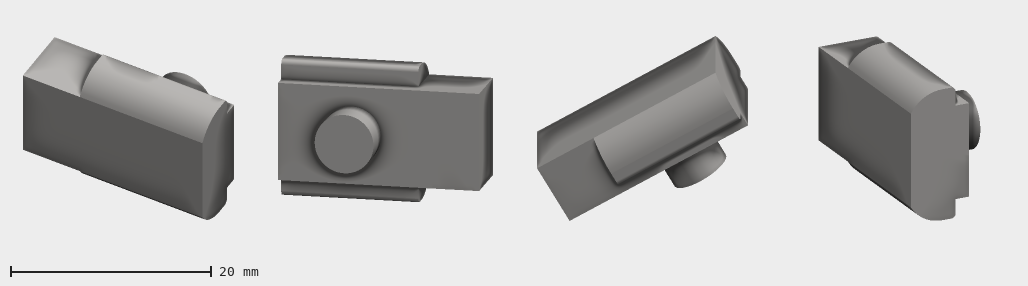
import cadquery as cq
import math

block_length = 20.5
block_depth = 6.5
block_height = 10.0

overall_height = 14.0
wing_length = 14.0
wing_depth = 5.0
wing_back_radius = 0.5
wing_flat_width = 1.0

pin_diameter = 6.0
pin_core_diameter = 5.0
pin_length = 10.0
pin_center_x = 13.0

wing_start_x = block_length - wing_length
wing_base_z = block_height / 2
wing_top_z = overall_height / 2

arc_start_y = wing_depth - wing_back_radius - wing_flat_width
arc_drop = wing_top_z - wing_base_z
arc_radius = (arc_start_y**2 + arc_drop**2) / (2 * arc_drop)
arc_center_z = wing_top_z - arc_radius
arc_mid_angle = math.asin(arc_start_y / arc_radius) / 2
arc_mid_y = arc_start_y - arc_radius * math.sin(arc_mid_angle)
arc_mid_z = arc_center_z + arc_radius * math.cos(arc_mid_angle)


def make_wing():
    """Upper wing, with its profile in the YZ plane reaching down to the block's mid-plane."""
    return (
        cq.Workplane("YZ", origin=(wing_start_x, 0, 0))
        .moveTo(0, 0)
        .lineTo(0, wing_base_z)
        .threePointArc((arc_mid_y, arc_mid_z), (arc_start_y, wing_top_z))
        .lineTo(wing_depth - wing_back_radius, wing_top_z)
        .radiusArc((wing_depth, wing_top_z - wing_back_radius), wing_back_radius)
        .lineTo(wing_depth, 0)
        .close()
        .extrude(wing_length)
    )


def make_cylinder(diameter):
    """Cylinder on the pin's axis, from the front face along +Y."""
    return (
        cq.Workplane("XZ", origin=(pin_center_x, 0, 0))
        .circle(diameter / 2)
        .extrude(-pin_length)
    )


def make_nut():
    """Block with both wings and a through hole that fits the pin."""
    block = cq.Workplane("XY").box(
        block_length, block_depth, block_height, centered=(False, False, True)
    )
    upper_wing = make_wing()
    lower_wing = upper_wing.mirror("XY")
    return block.union(upper_wing).union(lower_wing).cut(make_cylinder(pin_diameter))


def make_pin():
    """Solid round pin; the unmerged end faces keep the circle of its core."""
    return make_cylinder(pin_diameter).union(make_cylinder(pin_core_diameter), clean=False)


nut = make_nut()
pin = make_pin()

result = cq.Compound.makeCompound([nut.solids().val(), pin.solids().val()])